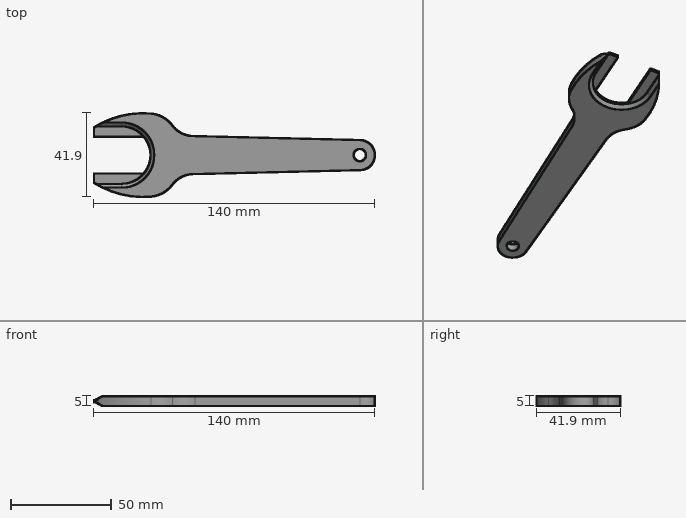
import cadquery as cq
import math

length = 140.0
head_width = 41.9
thickness = 5.0

tip_half_width = 13.7
head_half_width = head_width / 2
head_widest_x = 24.5
shoulder_start_x = 28.4
shoulder_end = (39.0, 14.8)
neck = (50.4, 9.5)

end_radius = 7.5
hole_diameter = 6.0
end_x = length - end_radius

slot_half_width = 9.1
pocket_center_x = 13.9
pocket_floor_radius = 14.3
pocket_rim_radius = 16.2
web_thickness = 1.3
pocket_depth = (thickness - web_thickness) / 2
overshoot = 7.0


def make_body():
    """Flat spanner blank, symmetric about the XZ plane."""
    rise = head_half_width - tip_half_width
    jaw_radius = (head_widest_x**2 + rise**2) / (2 * rise)
    jaw_center_y = head_half_width - jaw_radius

    def jaw_point(x):
        return x, jaw_center_y + math.sqrt(jaw_radius**2 - (x - head_widest_x) ** 2)

    run = end_x - neck[0]
    taper = math.asin(end_radius / math.hypot(run, neck[1])) - math.atan2(neck[1], run)
    taper_end = (end_x - end_radius * math.sin(taper), end_radius * math.cos(taper))

    end_diagonal = end_radius * math.sqrt(0.5)

    half = (
        cq.Workplane("XY")
        .workplane(offset=-thickness / 2)
        .lineTo(0, tip_half_width)
        .threePointArc(jaw_point(shoulder_start_x / 2), jaw_point(shoulder_start_x))
        .tangentArcPoint(shoulder_end, relative=False)
        .tangentArcPoint(neck, relative=False)
        .lineTo(*taper_end)
        .threePointArc((end_x + end_diagonal, end_diagonal), (length, 0))
        .close()
        .extrude(thickness)
    )
    return half.union(half.mirror("XZ")).clean()


def make_pocket():
    """Upper pocket: a straight run into a half circle, with walls sloping outward."""
    floor_z = web_thickness / 2
    cone = cq.Workplane(
        cq.Solid.makeCone(
            pocket_floor_radius,
            pocket_rim_radius,
            pocket_depth,
            pnt=cq.Vector(pocket_center_x, 0, floor_z),
        )
    )
    channel = (
        cq.Workplane("YZ")
        .workplane(offset=-overshoot)
        .polyline(
            [
                (-pocket_floor_radius, floor_z),
                (pocket_floor_radius, floor_z),
                (pocket_rim_radius, thickness / 2),
                (-pocket_rim_radius, thickness / 2),
            ]
        )
        .close()
        .extrude(pocket_center_x + overshoot)
    )
    return channel.union(cone)


def make_slot():
    """Through opening between the jaws, bounded at its root by the pocket floor circle."""
    root = (
        cq.Workplane("XY")
        .center(pocket_center_x, 0)
        .circle(pocket_floor_radius)
        .extrude(thickness, both=True)
    )
    reach = pocket_center_x + pocket_floor_radius
    strip = (
        cq.Workplane("XY")
        .center(reach / 2, 0)
        .rect(reach, 2 * slot_half_width)
        .extrude(thickness, both=True)
    )
    entry = (
        cq.Workplane("XY")
        .center((pocket_center_x - overshoot) / 2, 0)
        .rect(pocket_center_x + overshoot, 2 * slot_half_width)
        .extrude(thickness, both=True)
    )
    return strip.intersect(root).union(entry)


def make_hanging_hole():
    return cq.Workplane("XY").center(end_x, 0).circle(hole_diameter / 2).extrude(thickness, both=True)


pocket = make_pocket()
result = (
    make_body()
    .cut(pocket)
    .cut(pocket.mirror("XY"))
    .cut(make_slot())
    .cut(make_hanging_hole())
)